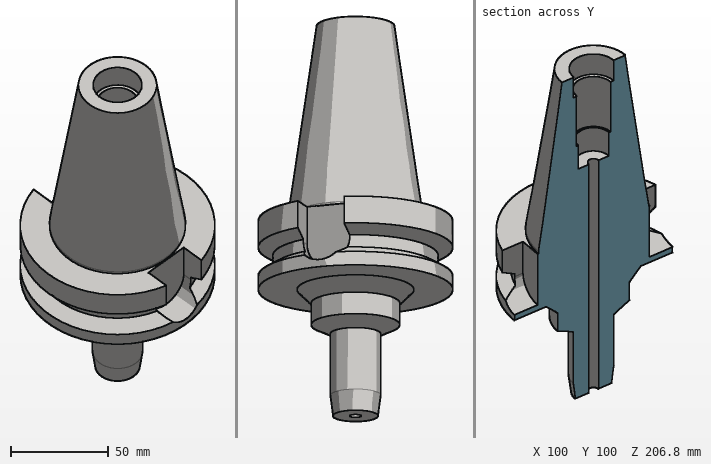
import cadquery as cq
import math


gauge_diameter = 69.85
taper_length = 101.8
taper_ratio = 7 / 24
gauge_radius = gauge_diameter / 2
taper_end_radius = gauge_radius - taper_length * taper_ratio / 2

flange_radius = 50.0
flange_top = -1.5
flange_bottom = -38.0
groove_radius = 42.5
groove_center = -23.25
groove_floor_width = 6.5
groove_flank_angle = math.radians(30)
groove_flank_height = (flange_radius - groove_radius) * math.tan(groove_flank_angle)
groove_floor_top = groove_center + groove_floor_width / 2
groove_floor_bottom = groove_center - groove_floor_width / 2

nose_end = -105.0
nose_cone_radius = 30.0
collar_radius = 22.75
collar_top = flange_bottom - (nose_cone_radius - collar_radius)
collar_bottom = -56.7
stem_radius = 13.0
stem_top = -61.5
tip_start = -94.0
tip_end_radius = 11.6

drive_slot_width = 25.5
drive_slot_floor = 35.4
drive_slot_end = -34.2

bore_mouth_radius = 12.5
bore_mouth_depth = 13.0
bore_radius = 10.6
bore_depth = 45.0
bore_end_radius = 9.6
bore_end_depth = 60.0
coolant_hole_radius = 3.0


def turned_body():
    profile = [
        (0, taper_length),
        (taper_end_radius, taper_length),
        (gauge_radius, 0),
        (gauge_radius, flange_top),
        (flange_radius, flange_top),
        (flange_radius, groove_floor_top + groove_flank_height),
        (groove_radius, groove_floor_top),
        (groove_radius, groove_floor_bottom),
        (flange_radius, groove_floor_bottom - groove_flank_height),
        (flange_radius, flange_bottom),
        (nose_cone_radius, flange_bottom),
        (collar_radius, collar_top),
        (collar_radius, collar_bottom),
        (stem_radius, stem_top),
        (stem_radius, tip_start),
        (tip_end_radius, nose_end),
        (0, nose_end),
    ]
    return cq.Workplane("YZ").polyline(profile).close().revolve(360, (0, 0), (0, 1))


def drive_slot(side):
    """Round-ended slot running up past the flange top to the gauge plane; side is -1 or +1 along X."""
    half_width = drive_slot_width / 2
    arc_center = drive_slot_end + half_width
    return (
        cq.Workplane("YZ", origin=(side * drive_slot_floor, 0, 0))
        .moveTo(-half_width, 0)
        .lineTo(-half_width, arc_center)
        .threePointArc((0, drive_slot_end), (half_width, arc_center))
        .lineTo(half_width, 0)
        .close()
        .extrude(side * flange_radius)
    )


def bore_step(radius, depth):
    return cq.Workplane("XY", origin=(0, 0, taper_length)).circle(radius).extrude(-depth)


result = turned_body()
for side in (-1, 1):
    result = result.cut(drive_slot(side))

bore_steps = [
    (bore_mouth_radius, bore_mouth_depth),
    (bore_radius, bore_depth),
    (bore_end_radius, bore_end_depth),
    (coolant_hole_radius, taper_length - nose_end),
]
for radius, depth in bore_steps:
    result = result.cut(bore_step(radius, depth))